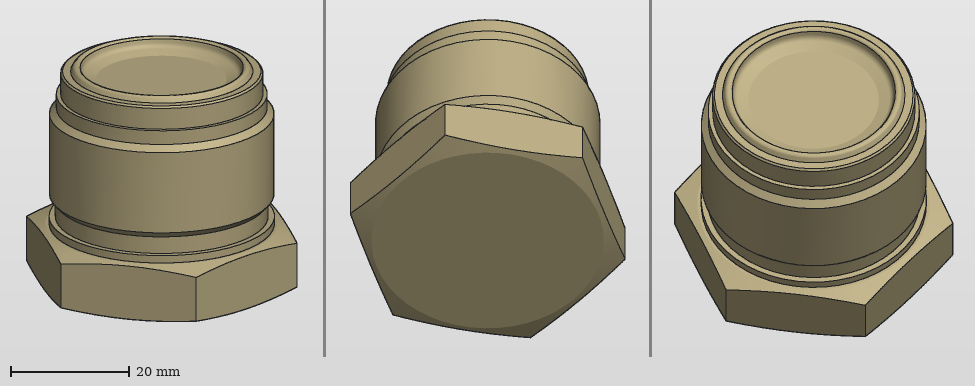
import cadquery as cq
import math

HEX_CORNERS = 47.55
HEX_HEIGHT = 10.15
HEX_CHAMFER_ANGLE = 15.0
HEX_FACE_RADIUS = 19.65

COLLAR_RADIUS = 38.1 / 2
COLLAR_TOP = 11.45
UNDERCUT_RADIUS = 36.0 / 2
UNDERCUT_TOP = 14.45
BODY_RADIUS = 38.0 / 2
BODY_BOTTOM = 15.55
BODY_TOP = 30.0
NECK_RADIUS = 35.7 / 2
NECK_BOTTOM = 31.05
NECK_TOP = 33.55
NOSE_RADIUS = 34.2 / 2
NOSE_TOP = 37.65
NOSE_CHAMFER = 0.35

TOTAL_HEIGHT = 38.6
LIP_FOOT_RADIUS = 15.4
LIP_OUTER_RADIUS = 15.0
LIP_INNER_RADIUS = 13.8
LIP_EDGE_LEVEL = 38.3

RECESS_RADIUS = 27.2 / 2
RECESS_WALL_BOTTOM = 37.65
CONE_RADIUS = 12.95
CONE_TOP = 36.85
FLOOR_RADIUS = 11.05
FLOOR_LEVEL = 36.25


def hex_head():
    """Hexagon whose corners are turned off conically at both ends."""
    corner_radius = HEX_CORNERS / 2
    corner_drop = (corner_radius - HEX_FACE_RADIUS) * math.tan(math.radians(HEX_CHAMFER_ANGLE))
    prism = (
        cq.Workplane("XY")
        .polygon(6, HEX_CORNERS)
        .extrude(HEX_HEIGHT)
        .rotate((0, 0, 0), (0, 0, 1), 30)
    )
    chamfer_envelope = (
        cq.Workplane("XZ")
        .polyline([
            (0, 0),
            (HEX_FACE_RADIUS, 0),
            (corner_radius, corner_drop),
            (corner_radius, HEX_HEIGHT - corner_drop),
            (HEX_FACE_RADIUS, HEX_HEIGHT),
            (0, HEX_HEIGHT),
        ])
        .close()
        .revolve(360, (0, 0, 0), (0, 1, 0))
    )
    return prism.intersect(chamfer_envelope)


def turned_body():
    """Stepped round body, from the head up to the lip and its recess."""
    crest_middle = (LIP_OUTER_RADIUS + LIP_INNER_RADIUS) / 2
    return (
        cq.Workplane("XZ")
        .moveTo(0, 0)
        .lineTo(UNDERCUT_RADIUS, 0)
        .lineTo(UNDERCUT_RADIUS, HEX_HEIGHT)
        .lineTo(COLLAR_RADIUS, HEX_HEIGHT)
        .lineTo(COLLAR_RADIUS, COLLAR_TOP)
        .lineTo(UNDERCUT_RADIUS, COLLAR_TOP)
        .lineTo(UNDERCUT_RADIUS, UNDERCUT_TOP)
        .lineTo(BODY_RADIUS, BODY_BOTTOM)
        .lineTo(BODY_RADIUS, BODY_TOP)
        .lineTo(NECK_RADIUS, NECK_BOTTOM)
        .lineTo(NECK_RADIUS, NECK_TOP)
        .lineTo(NOSE_RADIUS, NECK_TOP)
        .lineTo(NOSE_RADIUS, NOSE_TOP - NOSE_CHAMFER)
        .lineTo(NOSE_RADIUS - NOSE_CHAMFER, NOSE_TOP)
        .lineTo(LIP_FOOT_RADIUS, NOSE_TOP)
        .lineTo(LIP_OUTER_RADIUS, LIP_EDGE_LEVEL)
        .threePointArc((crest_middle, TOTAL_HEIGHT), (LIP_INNER_RADIUS, LIP_EDGE_LEVEL))
        .lineTo(RECESS_RADIUS, RECESS_WALL_BOTTOM)
        .tangentArcPoint((CONE_RADIUS, CONE_TOP), relative=False)
        .lineTo(FLOOR_RADIUS, FLOOR_LEVEL)
        .lineTo(0, FLOOR_LEVEL)
        .close()
        .revolve(360, (0, 0, 0), (0, 1, 0))
    )


result = hex_head().union(turned_body())